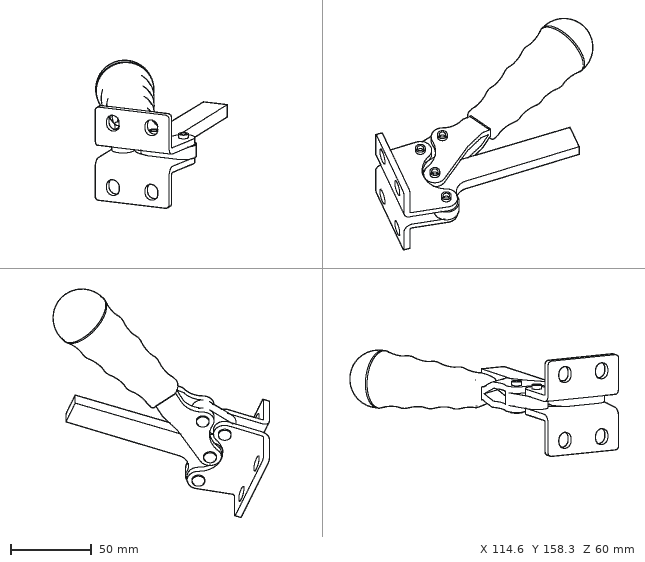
import cadquery as cq
import math


DIAGONAL = math.sqrt(0.5)

SHEET = 4.0
BAR_HALF = 4.0
OUTER_HALF = BAR_HALF + SHEET

LINK_PIVOT = (7.0, 27.0)
ARM_JOINT = (27.0, 29.0)
ARM_PIVOT = (47.0, 29.0)
LEVER_JOINT = (2.0, 43.5)
EYE_R = 7.0
ARM_EYE_R = 8.0

BASE_LENGTH = 50.0
BASE_HALF_WIDTH = 30.0
BEND_INNER_R = 1.0
BEND_OUTER_R = BEND_INNER_R + SHEET
BASE_SADDLE_R = 14.8
FLANGE_CORNER_R = 2.5
SLOT_END_INSET = 12.0
SLOT_Z = 20.7
SLOT_WIDTH = 8.6
SLOT_LENGTH = 10.0

BAR_LEFT = 20.2
BAR_RIGHT = 36.3
BAR_END_Y = 121.0
ARM_CORNER_R = 9.0
BAR_ROOT_ANGLE = 160

HANDLE_ANGLE = math.radians(29.0)
BALL_CENTER = (-41.6, 140.34)
SHANK_HALF_WIDTH = 8.0
SHANK_START = 70.0
SHANK_SHOULDER = 101.5
SHANK_NECK_R = 15.0
LEVER_SADDLE_R = 17.0
JOGGLE_ANGLE = math.radians(30.8)
JOGGLE_INNER_CORNER = 88.4
FORK_END = 140.0

BALL_R = 18.0
BALL_END = 1.4
RING_PITCH = 18.9
RING_COUNT = 4
RING_FIRST = -0.1
RING_WIDTH = 2.6
RING_STEP = 1.63
RING_DROP = 0.2
RING_CROWN = 0.15
VALLEY_OFFSET = 13.6
VALLEY_DEPTH = 0.55
GRIP_SAG = 0.45
GRIP_END = 79.7
GRIP_END_ROUND = 1.5
FLAT_START = (72.5, 10.6)
FLAT_END_Z = 6.4

RIVET_R = 3.05
RIVET_TOP = 10.3
RIVET_HEAD_R = 4.0
RIVET_HEAD_HEIGHT = 1.1
BORE_R = 1.95
BORE_DEPTH = 3.0
DRILL_TIP_HALF_ANGLE = math.radians(59)

AXIS = (math.sin(HANDLE_ANGLE), -math.cos(HANDLE_ANGLE))
SIDE = (math.cos(HANDLE_ANGLE), math.sin(HANDLE_ANGLE))
HANDLE_ORIGIN = (BALL_CENTER[0], BALL_CENTER[1], 0)
AXIS_3D = (AXIS[0], AXIS[1], 0)
GRIP_PLANE = cq.Plane(origin=HANDLE_ORIGIN, xDir=AXIS_3D, normal=(0, 0, 1))
PROFILE_PLANE = cq.Plane(origin=HANDLE_ORIGIN, xDir=AXIS_3D, normal=(-SIDE[0], -SIDE[1], 0))


def on_handle(s, n):
    """XY point at distance s along the handle axis and n to its right."""
    return (
        BALL_CENTER[0] + s * AXIS[0] + n * SIDE[0],
        BALL_CENTER[1] + s * AXIS[1] + n * SIDE[1],
    )


def toward(start, target, distance):
    """Point at the given distance from start in the direction of target."""
    dx = target[0] - start[0]
    dy = target[1] - start[1]
    length = math.hypot(dx, dy)
    return (start[0] + dx / length * distance, start[1] + dy / length * distance)


def midpoint(first, second):
    return ((first[0] + second[0]) / 2, (first[1] + second[1]) / 2)


def polar(center, radius, degrees):
    """Point on a circle at an angle counted from +X."""
    angle = math.radians(degrees)
    return (center[0] + radius * math.cos(angle), center[1] + radius * math.sin(angle))


def arc_center_right(first, second, reach):
    """Point at equal reach from two centres, to the right of the path first to second."""
    dx = second[0] - first[0]
    dy = second[1] - first[1]
    length = math.hypot(dx, dy)
    height = math.sqrt(reach ** 2 - (length / 2) ** 2)
    mid_x, mid_y = midpoint(first, second)
    return (mid_x + dy / length * height, mid_y - dx / length * height)


def tangent_point(point, center, radius, side):
    """Where a line from point touches a circle; side +1 or -1 picks one of the two."""
    distance = math.hypot(point[0] - center[0], point[1] - center[1])
    base_angle = math.atan2(point[1] - center[1], point[0] - center[0])
    angle = base_angle + side * math.acos(radius / distance)
    return polar(center, radius, math.degrees(angle))


def mirrored(body):
    """The body together with its image across the mid plane."""
    return body.union(body.mirror("XY"))


def base_bracket():
    """One bent sheet half of the base on the +Z side."""
    saddle = arc_center_right(ARM_PIVOT, LINK_PIVOT, EYE_R + BASE_SADDLE_R)
    right_foot = (BASE_LENGTH, BEND_OUTER_R)
    web = (
        cq.Workplane("XY")
        .workplane(offset=BAR_HALF)
        .moveTo(0, BEND_OUTER_R)
        .lineTo(LINK_PIVOT[0] - EYE_R, LINK_PIVOT[1])
        .threePointArc(polar(LINK_PIVOT, EYE_R, 110), toward(LINK_PIVOT, saddle, EYE_R))
        .threePointArc(polar(saddle, BASE_SADDLE_R, -90), toward(ARM_PIVOT, saddle, EYE_R))
        .threePointArc(polar(ARM_PIVOT, EYE_R, 70), tangent_point(right_foot, ARM_PIVOT, EYE_R, 1))
        .lineTo(*right_foot)
        .close()
        .extrude(SHEET)
    )
    bend_z = BAR_HALF + BEND_OUTER_R
    foot = (
        cq.Workplane("YZ")
        .moveTo(BEND_OUTER_R, BAR_HALF)
        .lineTo(BEND_OUTER_R, OUTER_HALF)
        .threePointArc(
            (BEND_OUTER_R - BEND_INNER_R * DIAGONAL, bend_z - BEND_INNER_R * DIAGONAL),
            (SHEET, bend_z),
        )
        .lineTo(SHEET, BASE_HALF_WIDTH)
        .lineTo(0, BASE_HALF_WIDTH)
        .lineTo(0, bend_z)
        .threePointArc(
            (BEND_OUTER_R * (1 - DIAGONAL), bend_z - BEND_OUTER_R * DIAGONAL),
            (BEND_OUTER_R, BAR_HALF),
        )
        .close()
        .extrude(BASE_LENGTH)
    )
    foot = foot.faces(">Z").edges("|Y").fillet(FLANGE_CORNER_R)
    slots = (
        cq.Workplane("XZ")
        .pushPoints([(SLOT_END_INSET, SLOT_Z), (BASE_LENGTH - SLOT_END_INSET, SLOT_Z)])
        .slot2D(SLOT_LENGTH, SLOT_WIDTH, 90)
        .extrude(-SHEET)
    )
    return web.union(foot).cut(slots)


def clamping_arm():
    """Flat bar whose foot carries the lever joint and the fixed pivot."""
    corner_x = BAR_RIGHT + ARM_CORNER_R
    reach = ARM_EYE_R + ARM_CORNER_R
    corner_y = ARM_PIVOT[1] + math.sqrt(reach ** 2 - (corner_x - ARM_PIVOT[0]) ** 2)
    corner = (corner_x, corner_y)
    return (
        cq.Workplane("XY")
        .workplane(offset=-BAR_HALF)
        .moveTo(BAR_LEFT, BAR_END_Y)
        .lineTo(BAR_RIGHT, BAR_END_Y)
        .lineTo(BAR_RIGHT, corner_y)
        .threePointArc(polar(corner, ARM_CORNER_R, 225), toward(ARM_PIVOT, corner, ARM_EYE_R))
        .threePointArc(polar(ARM_PIVOT, ARM_EYE_R, 0), polar(ARM_PIVOT, ARM_EYE_R, -90))
        .lineTo(*polar(ARM_JOINT, ARM_EYE_R, -90))
        .threePointArc(
            polar(ARM_JOINT, ARM_EYE_R, -135),
            polar(ARM_JOINT, ARM_EYE_R, BAR_ROOT_ANGLE),
        )
        .close()
        .extrude(2 * BAR_HALF)
    )


def link():
    """Round-ended bar between the base and the lever."""
    dx = LEVER_JOINT[0] - LINK_PIVOT[0]
    dy = LEVER_JOINT[1] - LINK_PIVOT[1]
    length = math.hypot(dx, dy)
    return (
        cq.Workplane("XY")
        .workplane(offset=-BAR_HALF)
        .center(*midpoint(LINK_PIVOT, LEVER_JOINT))
        .slot2D(length + 2 * EYE_R, 2 * EYE_R, math.degrees(math.atan2(dy, dx)))
        .extrude(2 * BAR_HALF)
    )


def bend_edge(s, z):
    """Selector for the joggle edge whose middle lies at s on the axis and height z."""
    return cq.NearestToPointSelector((*on_handle(s, 0), z))


def lever():
    """Two sheet cheeks that joggle inwards and meet in a tang inside the grip."""
    joint_x = LEVER_JOINT[0] - BALL_CENTER[0]
    joint_y = LEVER_JOINT[1] - BALL_CENTER[1]
    joint_s = joint_x * AXIS[0] + joint_y * AXIS[1]
    joint_n = joint_x * SIDE[0] + joint_y * SIDE[1]
    neck_n = -SHANK_HALF_WIDTH - SHANK_NECK_R
    neck_s = joint_s - math.sqrt((EYE_R + SHANK_NECK_R) ** 2 - (joint_n - neck_n) ** 2)
    neck = on_handle(neck_s, neck_n)
    neck_exit = toward(LEVER_JOINT, neck, EYE_R)
    neck_start = on_handle(neck_s, -SHANK_HALF_WIDTH)
    saddle = arc_center_right(LEVER_JOINT, ARM_JOINT, EYE_R + LEVER_SADDLE_R)
    saddle_start = toward(LEVER_JOINT, saddle, EYE_R)
    saddle_end = toward(ARM_JOINT, saddle, EYE_R)
    shoulder = on_handle(SHANK_SHOULDER, SHANK_HALF_WIDTH)
    outline = (
        cq.Workplane("XY")
        .workplane(offset=-OUTER_HALF)
        .moveTo(*on_handle(SHANK_START, SHANK_HALF_WIDTH))
        .lineTo(*on_handle(SHANK_START, -SHANK_HALF_WIDTH))
        .lineTo(*neck_start)
        .threePointArc(toward(neck, midpoint(neck_start, neck_exit), SHANK_NECK_R), neck_exit)
        .threePointArc(polar(LEVER_JOINT, EYE_R, 200), saddle_start)
        .threePointArc(toward(saddle, midpoint(saddle_start, saddle_end), LEVER_SADDLE_R), saddle_end)
        .threePointArc(polar(ARM_JOINT, EYE_R, -70), tangent_point(shoulder, ARM_JOINT, EYE_R, -1))
        .lineTo(*shoulder)
        .close()
        .extrude(2 * OUTER_HALF)
    )

    slope = math.tan(JOGGLE_ANGLE)
    outer_corner = JOGGLE_INNER_CORNER - SHEET * math.tan(JOGGLE_ANGLE / 2)
    outer_foot = outer_corner - (OUTER_HALF - SHEET) / slope
    fork_tip = JOGGLE_INNER_CORNER - BAR_HALF / slope
    envelope = (
        cq.Workplane(PROFILE_PLANE)
        .polyline([
            (SHANK_START, -SHEET),
            (outer_foot, -SHEET),
            (outer_corner, -OUTER_HALF),
            (FORK_END, -OUTER_HALF),
            (FORK_END, OUTER_HALF),
            (outer_corner, OUTER_HALF),
            (outer_foot, SHEET),
            (SHANK_START, SHEET),
        ])
        .close()
        .extrude(FORK_END / 2, both=True)
    )
    fork_gap = (
        cq.Workplane(PROFILE_PLANE)
        .polyline([
            (fork_tip, 0),
            (JOGGLE_INNER_CORNER, -BAR_HALF),
            (FORK_END, -BAR_HALF),
            (FORK_END, BAR_HALF),
            (JOGGLE_INNER_CORNER, BAR_HALF),
        ])
        .close()
        .extrude(FORK_END / 2, both=True)
    )

    for sign in (1, -1):
        envelope = envelope.edges(bend_edge(outer_corner, sign * OUTER_HALF)).fillet(BEND_OUTER_R)
        fork_gap = fork_gap.edges(bend_edge(JOGGLE_INNER_CORNER, sign * BAR_HALF)).fillet(BEND_INNER_R)
    return outline.intersect(envelope).cut(fork_gap)


def grip():
    """Turned grip: ball end, concave stretches between rings, two end flats."""
    ring_start = (BALL_END, math.sqrt(BALL_R ** 2 - BALL_END ** 2))
    profile = (
        cq.Workplane(GRIP_PLANE)
        .moveTo(-BALL_R, 0)
        .threePointArc((-BALL_R * DIAGONAL, BALL_R * DIAGONAL), ring_start)
    )
    for index in range(RING_COUNT):
        ring_s = RING_FIRST + index * RING_PITCH
        ring_r = BALL_R - index * RING_STEP
        ring_end = (ring_s + RING_WIDTH, ring_r - RING_DROP)
        next_r = ring_r - RING_STEP
        valley = (ring_s + VALLEY_OFFSET, next_r - VALLEY_DEPTH)
        crown = ((ring_start[0] + ring_end[0]) / 2, (ring_start[1] + ring_end[1]) / 2 + RING_CROWN)
        sag_point = ((ring_end[0] + valley[0]) / 2, (ring_end[1] + valley[1]) / 2 - GRIP_SAG)
        ring_start = (ring_s + RING_PITCH, next_r)
        profile = (
            profile
            .threePointArc(crown, ring_end)
            .threePointArc(sag_point, valley)
            .tangentArcPoint(ring_start, relative=False)
        )
    end_r = BALL_R - RING_COUNT * RING_STEP
    body = (
        profile
        .lineTo(GRIP_END, end_r)
        .lineTo(GRIP_END, 0)
        .close()
        .revolve(360, (0, 0, 0), (1, 0, 0))
    )
    flat_slope = (FLAT_END_Z - FLAT_START[1]) / (GRIP_END - FLAT_START[0])
    flat_reach = BALL_R
    for sign in (1, -1):
        flat = (
            cq.Workplane(PROFILE_PLANE)
            .moveTo(GRIP_END - flat_reach, sign * (FLAT_END_Z - flat_reach * flat_slope))
            .lineTo(GRIP_END + flat_reach, sign * (FLAT_END_Z + flat_reach * flat_slope))
            .lineTo(GRIP_END + flat_reach, sign * (FLAT_END_Z - flat_reach * flat_slope))
            .close()
            .extrude(BALL_R, both=True)
        )
        body = body.cut(flat)
    flats_and_end = body.faces("%PLANE")
    return flats_and_end.edges().fillet(GRIP_END_ROUND)


def rivet(position):
    """Plain pin through a joint with a wider head on the -Z side."""
    head = (
        cq.Workplane("XY")
        .workplane(offset=-OUTER_HALF - RIVET_HEAD_HEIGHT)
        .center(*position)
        .circle(RIVET_HEAD_R)
        .extrude(RIVET_HEAD_HEIGHT)
    )
    shank = (
        cq.Workplane("XY")
        .workplane(offset=-OUTER_HALF)
        .center(*position)
        .circle(RIVET_R)
        .extrude(OUTER_HALF + RIVET_TOP)
    )
    return head.union(shank)


def rivet_bore(position):
    """Blind drilled hole with a conical bottom, entering from the +Z end of a rivet."""
    bore_bottom = RIVET_TOP - BORE_DEPTH
    tip_length = BORE_R / math.tan(DRILL_TIP_HALF_ANGLE)
    return (
        cq.Workplane("XZ")
        .polyline([
            (0, RIVET_TOP),
            (BORE_R, RIVET_TOP),
            (BORE_R, bore_bottom),
            (0, bore_bottom - tip_length),
        ])
        .close()
        .revolve(360, (0, 0, 0), (0, 1, 0))
        .translate((position[0], position[1], 0))
    )


result = mirrored(base_bracket())
for component in (clamping_arm(), link(), lever(), grip()):
    result = result.union(component)
JOINTS = (LINK_PIVOT, ARM_JOINT, ARM_PIVOT, LEVER_JOINT)
for joint in JOINTS:
    result = result.union(rivet(joint)).cut(rivet_bore(joint))